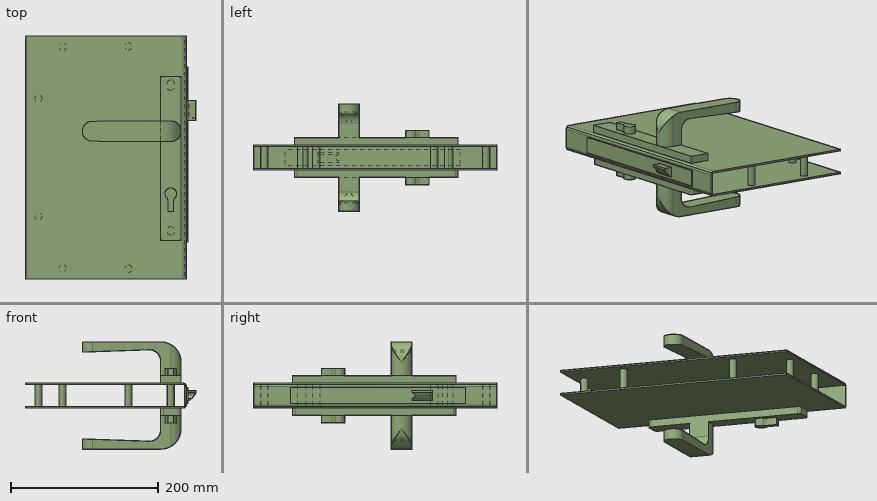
import cadquery as cq
import math

sheet_length = 330.0
sheet_depth = 218.0
case_height = 34.3
sheet_thickness = 2.3
bend_radius = 4.5
case_top = case_height / 2
inner_height = case_height - 2 * sheet_thickness

faceplate_thickness = 2.0
faceplate_length = 237.5
faceplate_width = 22.0
faceplate_y = 4.0
faceplate_outer = sheet_depth + faceplate_thickness

latch_tip = 231.0
latch_width = 27.5
latch_y = 63.7
latch_height = 13.2
latch_nose = 2.5
latch_heel = 1.3
latch_bevel_radius = 21.5
latch_groove_radius = 4.0

lock_x = 197.0
escutcheon_width = 28.0
escutcheon_length = 222.5
escutcheon_thickness = 10.0
escutcheon_y = -1.3
lower_corner_radius = 4.0
escutcheon_top = case_top + escutcheon_thickness

spacer_diameter = 10.0
spacer_pairs = [(17.5, 80.0), (50.0, 150.0), (139.5, 150.8), (lock_x, 100.3)]

fixing_spacing = 194.7

handle_y = 35.5
handle_top = 73.0
neck_radius = escutcheon_width / 2
tip_radius = 13.5
tip_x = 90.5
tip_thickness = 14.2
arm_root_thickness = 10.5
outer_bend_radius = escutcheon_width
inner_bend_radius = 15.0

key_head_radius = 8.0
key_stem_width = 8.0
key_length = 32.0
key_fillet = 5.0
key_head_y = -49.2
key_height = 10.0


def centred_box(size_x, size_y, size_z, x, y, z):
    return cq.Workplane("XY").box(size_x, size_y, size_z).translate((x, y, z))


def folded_sheet():
    outer = centred_box(sheet_depth, sheet_length, case_height, sheet_depth / 2, 0, 0)
    outer = outer.edges(">X and |Y").fillet(bend_radius)
    inner_depth = sheet_depth - sheet_thickness
    inner = centred_box(inner_depth, sheet_length, inner_height, inner_depth / 2, 0, 0)
    return outer.cut(inner)


def spacers(points):
    length = case_height - sheet_thickness
    return (
        cq.Workplane("XY", origin=(0, 0, -length / 2))
        .pushPoints(points)
        .circle(spacer_diameter / 2)
        .extrude(length)
    )


def faceplate():
    return centred_box(
        faceplate_thickness, faceplate_length, faceplate_width,
        sheet_depth + faceplate_thickness / 2, faceplate_y, 0,
    )


def latch():
    half_height = latch_height / 2
    bolt = (
        cq.Workplane("XZ", origin=(0, latch_y + latch_width / 2, 0))
        .moveTo(sheet_depth, half_height)
        .lineTo(latch_tip, half_height)
        .lineTo(latch_tip, half_height - latch_nose)
        .radiusArc((faceplate_outer + latch_heel, -half_height), latch_bevel_radius)
        .lineTo(sheet_depth, -half_height)
        .close()
        .extrude(latch_width)
    )
    groove = (
        cq.Workplane("YZ", origin=(faceplate_outer, latch_y - latch_width / 2, 0))
        .circle(latch_groove_radius)
        .extrude(latch_tip - faceplate_outer)
    )
    return bolt.cut(groove)


def escutcheon():
    return centred_box(
        escutcheon_width, escutcheon_length, escutcheon_thickness,
        lock_x, escutcheon_y, case_top + escutcheon_thickness / 2,
    )


def handle():
    neck_left = lock_x - neck_radius
    neck_right = lock_x + neck_radius
    tip_end = tip_x - tip_radius
    side = (
        cq.Workplane("XZ", origin=(0, handle_y + neck_radius, 0))
        .moveTo(neck_left, escutcheon_top)
        .lineTo(neck_right, escutcheon_top)
        .lineTo(neck_right, handle_top)
        .lineTo(tip_end, handle_top)
        .lineTo(tip_end, handle_top - tip_thickness)
        .lineTo(neck_left, handle_top - arm_root_thickness)
        .close()
        .extrude(2 * neck_radius)
    )
    outer_corner = (neck_right, handle_y, handle_top)
    side = side.edges(cq.selectors.NearestToPointSelector(outer_corner)).fillet(outer_bend_radius)
    inner_corner = (neck_left, handle_y, handle_top - arm_root_thickness)
    side = side.edges(cq.selectors.NearestToPointSelector(inner_corner)).fillet(inner_bend_radius)
    plan = (
        cq.Workplane("XY", origin=(0, handle_y, 0))
        .moveTo(tip_x, tip_radius)
        .lineTo(lock_x, neck_radius)
        .threePointArc((neck_right, 0), (lock_x, -neck_radius))
        .lineTo(tip_x, -tip_radius)
        .threePointArc((tip_end, 0), (tip_x, tip_radius))
        .close()
        .extrude(handle_top)
    )
    return side.intersect(plan)


def profile_cylinder():
    half_stem = key_stem_width / 2
    fillet_x = half_stem + key_fillet
    centre_distance = key_head_radius + key_fillet
    fillet_y = -math.sqrt(centre_distance**2 - fillet_x**2)
    head_share = key_head_radius / centre_distance
    head_x = fillet_x * head_share
    head_y = fillet_y * head_share
    stem_end = key_head_radius - key_length
    return (
        cq.Workplane("XY", origin=(lock_x, key_head_y, escutcheon_top))
        .moveTo(-head_x, head_y)
        .threePointArc((0, key_head_radius), (head_x, head_y))
        .radiusArc((half_stem, fillet_y), -key_fillet)
        .lineTo(half_stem, stem_end)
        .lineTo(-half_stem, stem_end)
        .lineTo(-half_stem, fillet_y)
        .radiusArc((-head_x, head_y), -key_fillet)
        .close()
        .extrude(key_height)
    )


plate = escutcheon()
fittings = handle().union(profile_cylinder())
upper_set = plate.union(fittings)
lower_set = plate.edges("|Z").fillet(lower_corner_radius).union(fittings).mirror("XY")

wall_spacers = spacers([(x, side * y) for x, y in spacer_pairs for side in (1, -1)])
fixings = spacers([(lock_x, escutcheon_y + side * fixing_spacing / 2) for side in (1, -1)])

result = folded_sheet()
for piece in (wall_spacers, fixings, faceplate(), latch(), upper_set, lower_set):
    result = result.union(piece)